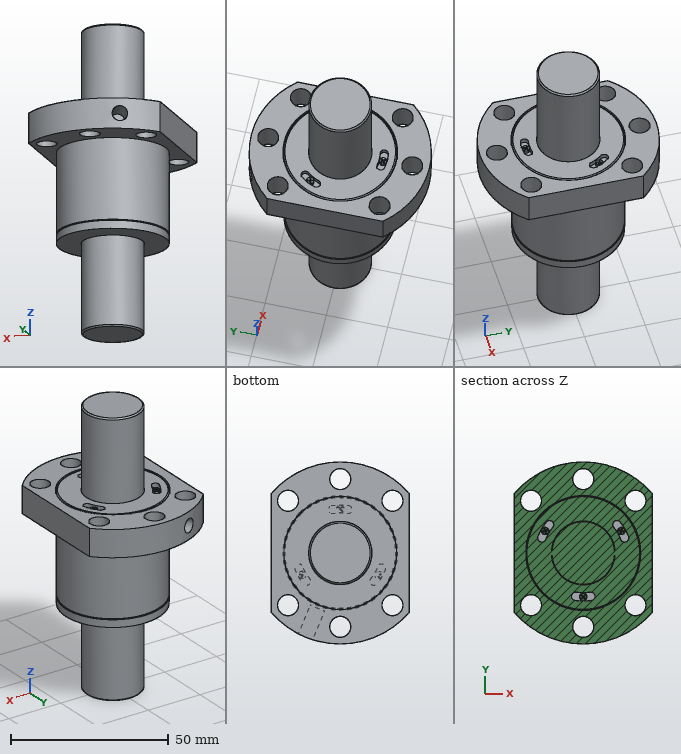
import cadquery as cq
import math

SHAFT_DIAMETER = 20.0
SHAFT_LENGTH = 100.0
SHAFT_CHAMFER = 0.5

NUT_DIAMETER = 36.0
NUT_LENGTH = 40.0
NUT_TOP = NUT_LENGTH / 2
NUT_BOTTOM = -NUT_LENGTH / 2
FLANGE_DIAMETER = 58.0
FLANGE_WIDTH = 44.0
FLANGE_THICKNESS = 10.0

BOLT_HOLE_DIAMETER = 6.6
BOLT_CIRCLE_RADIUS = 23.5
BOLT_HOLE_ANGLES = (45, 90, 135, 225, 270, 315)

PORT_DIAMETER = 4.92
PORT_DEPTH = 10.0
PORT_ANGLE = 112.5

SEAL_THICKNESS = 3.0
SEAL_BORE_DIAMETER = 20.2
SEAL_RECESS_DIAMETER = 36.5
SEAL_CHAMFER = 0.4
SIDE_GROOVE_WIDTH = 0.3
SIDE_GROOVE_DEPTH = 0.2

SLOT_HALF_SPAN = 10.0
SLOT_WIDTH = 2.6
SLOT_DEPTH = 1.5
SLOT_RADIUS = 14.0
SLOT_ANGLES = (30, 150, 270)
SCREW_HEAD_DIAMETER = 2.4
SCREW_HEAD_HEIGHT = 1.0
CROSS_RECESS_LENGTH = 1.8
CROSS_RECESS_WIDTH = 0.3
CROSS_RECESS_DEPTH = 0.5
CROSS_RECESS_ANGLE = 45


def disc(diameter, bottom, height):
    """Solid cylinder on the Z axis."""
    return cq.Workplane("XY").workplane(offset=bottom).circle(diameter / 2).extrude(height)


def ring(outer_diameter, inner_diameter, bottom, height):
    """Hollow cylinder on the Z axis."""
    profile = cq.Workplane("XY").workplane(offset=bottom).circle(outer_diameter / 2)
    return profile.circle(inner_diameter / 2).extrude(height)


def make_shaft():
    """Round shaft on the Z axis, chamfered at both ends."""
    shaft = disc(SHAFT_DIAMETER, -SHAFT_LENGTH / 2, SHAFT_LENGTH)
    return shaft.faces("<Z or >Z").edges().chamfer(SHAFT_CHAMFER)


def make_flange():
    """Round flange with two flats, facing -X and +X, and its mounting holes."""
    bottom = NUT_TOP - FLANGE_THICKNESS
    flats = cq.Workplane("XY").workplane(offset=bottom).rect(FLANGE_WIDTH, FLANGE_DIAMETER)
    flange = disc(FLANGE_DIAMETER, bottom, FLANGE_THICKNESS).intersect(flats.extrude(FLANGE_THICKNESS))
    for angle in BOLT_HOLE_ANGLES:
        hole = disc(BOLT_HOLE_DIAMETER, bottom, FLANGE_THICKNESS)
        flange = flange.cut(hole.translate((BOLT_CIRCLE_RADIUS, 0, 0)).rotate((0, 0, 0), (0, 0, 1), angle))
    return flange


def make_port():
    """Cutter for the radial lubrication port."""
    port = (
        cq.Workplane("YZ")
        .center(0, NUT_TOP - FLANGE_THICKNESS / 2)
        .workplane(offset=FLANGE_DIAMETER / 2 - PORT_DEPTH)
        .circle(PORT_DIAMETER / 2)
        .extrude(PORT_DEPTH)
    )
    return port.rotate((0, 0, 0), (0, 0, 1), PORT_ANGLE)


def cut_seal_gaps(nut):
    """Set both seals off from the nut and give them clearance around the shaft."""
    upper_bottom = NUT_TOP - SEAL_THICKNESS
    upper_seal = disc(NUT_DIAMETER, upper_bottom, SEAL_THICKNESS).faces(">Z").edges().chamfer(SEAL_CHAMFER)
    face_groove = disc(SEAL_RECESS_DIAMETER, upper_bottom, SEAL_THICKNESS).cut(upper_seal)
    side_groove_bottom = NUT_BOTTOM + SEAL_THICKNESS - SIDE_GROOVE_WIDTH
    side_groove_floor = NUT_DIAMETER - 2 * SIDE_GROOVE_DEPTH
    side_groove = ring(NUT_DIAMETER, side_groove_floor, side_groove_bottom, SIDE_GROOVE_WIDTH)
    nut = nut.cut(face_groove).cut(side_groove)
    for bottom in (upper_bottom, NUT_BOTTOM):
        nut = nut.cut(disc(SEAL_BORE_DIAMETER, bottom, SEAL_THICKNESS))
    return nut


def make_screw_head(bottom):
    """Round screw head with a cross recess in its top."""
    head = disc(SCREW_HEAD_DIAMETER, bottom, SCREW_HEAD_HEIGHT)
    recess_floor = bottom + SCREW_HEAD_HEIGHT - CROSS_RECESS_DEPTH
    for angle in (CROSS_RECESS_ANGLE, CROSS_RECESS_ANGLE + 90):
        arm = cq.Workplane("XY").workplane(offset=recess_floor).rect(CROSS_RECESS_LENGTH, CROSS_RECESS_WIDTH)
        head = head.cut(arm.extrude(CROSS_RECESS_DEPTH).rotate((0, 0, 0), (0, 0, 1), angle))
    return head


def polar(radius, angle):
    """Point at an angle in degrees from the +X axis."""
    return radius * math.cos(math.radians(angle)), radius * math.sin(math.radians(angle))


def make_curved_slot(bottom):
    """Round-ended slot following a circle about the Z axis, with its middle on +X."""
    inner = SLOT_RADIUS - SLOT_WIDTH / 2
    outer = SLOT_RADIUS + SLOT_WIDTH / 2
    end_angle = SLOT_HALF_SPAN + math.degrees(SLOT_WIDTH / 2 / SLOT_RADIUS)
    return (
        cq.Workplane("XY")
        .workplane(offset=bottom)
        .moveTo(*polar(outer, -SLOT_HALF_SPAN))
        .threePointArc((outer, 0), polar(outer, SLOT_HALF_SPAN))
        .threePointArc(polar(SLOT_RADIUS, end_angle), polar(inner, SLOT_HALF_SPAN))
        .threePointArc((inner, 0), polar(inner, -SLOT_HALF_SPAN))
        .threePointArc(polar(SLOT_RADIUS, -end_angle), polar(outer, -SLOT_HALF_SPAN))
        .close()
        .extrude(SLOT_DEPTH)
    )


def cut_screw_slots(nut):
    """Cut the slots in the upper seal, leaving a screw head standing in each."""
    floor = NUT_TOP - SLOT_DEPTH
    screw_head = make_screw_head(floor).translate((SLOT_RADIUS, 0, 0))
    cutter = make_curved_slot(floor).cut(screw_head)
    for angle in SLOT_ANGLES:
        nut = nut.cut(cutter.rotate((0, 0, 0), (0, 0, 1), angle))
    return nut


nut = disc(NUT_DIAMETER, NUT_BOTTOM, NUT_LENGTH).union(make_flange()).cut(make_port())
nut = cut_screw_slots(cut_seal_gaps(nut))
result = nut.union(make_shaft())